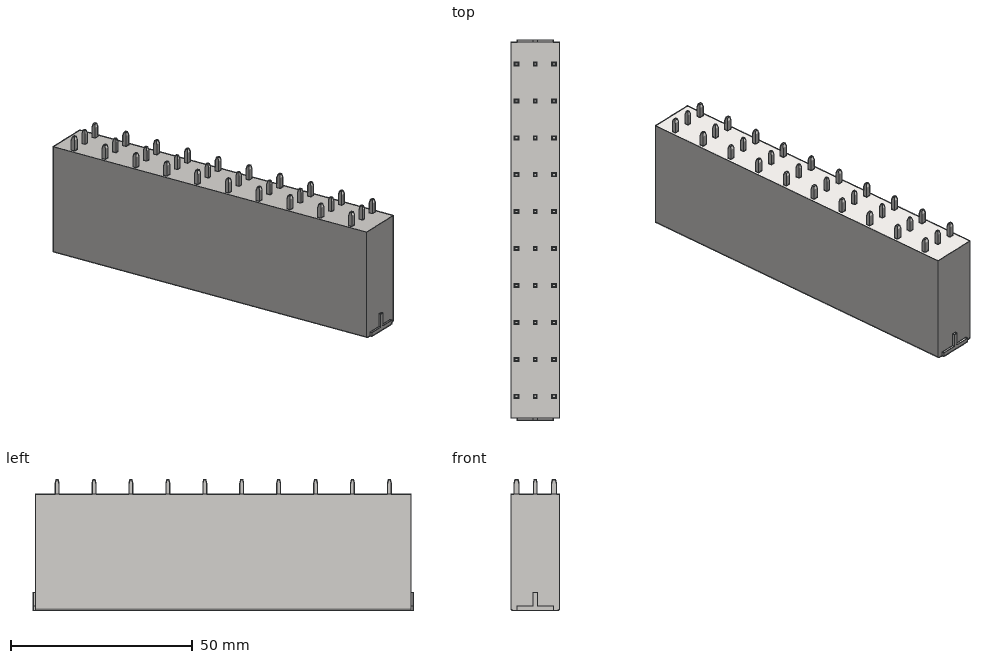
import cadquery as cq

overall_length = 104.64
overall_height = 36.0
body_width = 13.4
rib_depth = 0.62
pin_height = 4.0
body_length = overall_length - 2 * rib_depth
body_height = overall_height - pin_height
bottom_radius = 0.6

rib_bar_width = 10.0
rib_bar_height = 1.2
rib_post_width = 1.2
rib_post_height = 5.0

row_count = 10
row_pitch = 10.16
column_pitch = 5.15
outer_pin_width = 1.4
centre_pin_width = 1.1
pin_thickness = 1.1
pin_tip_height = 1.0
pin_tip_chamfer = 0.25


def make_body():
    """Plain block with rounded long bottom edges."""
    block = cq.Workplane("XY").box(
        body_width, body_length, body_height, centered=(True, True, False)
    )
    return block.faces("<Z").edges("|Y").fillet(bottom_radius)


def make_ribs():
    """T-shaped ribs; each bar and post spans the whole length to reach both ends."""
    bar = cq.Workplane("XY").box(
        rib_bar_width, overall_length, rib_bar_height, centered=(True, True, False)
    )
    post = cq.Workplane("XY").box(
        rib_post_width, overall_length, rib_post_height, centered=(True, True, False)
    )
    return bar.union(post)


def make_pin(x, y, width):
    """Rectangular pin with a four-sided tapered tip."""
    shank = cq.Workplane("XY").box(
        width, pin_thickness, pin_height, centered=(True, True, False)
    )
    pin = shank.faces(">Z").chamfer(pin_tip_height, pin_tip_chamfer)
    return pin.translate((x, y, body_height))


def make_pins():
    """All pins as one set of separate solids."""
    pins = cq.Workplane("XY")
    for row in range(row_count):
        y = (row - (row_count - 1) / 2) * row_pitch
        for column in (-1, 0, 1):
            width = centre_pin_width if column == 0 else outer_pin_width
            pins = pins.add(make_pin(column * column_pitch, y, width))
    return pins.combine()


result = make_body().union(make_ribs()).union(make_pins())